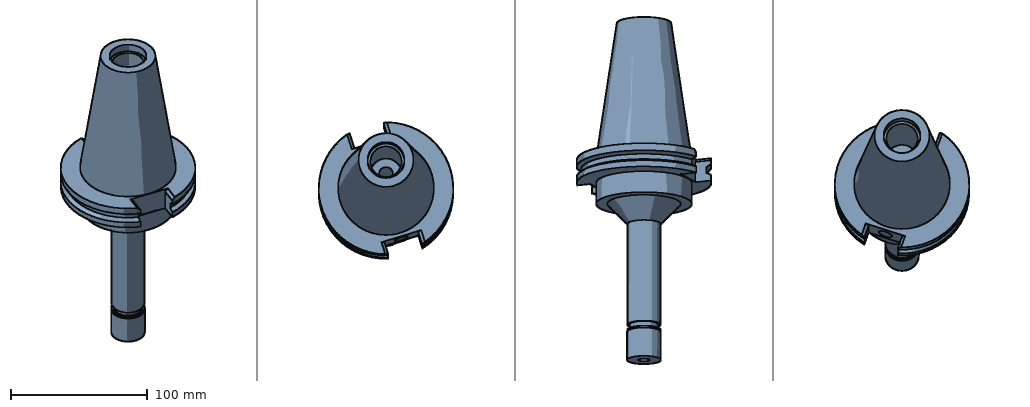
import cadquery as cq

total_length = 254.0
taper_base_z = 152.5
flange_top_z = 151.1
flange_bottom_z = 133.5
collar_bottom_z = 117.9
cone_bottom_z = 102.5
neck_top_z = 26.7
nose_top_z = 22.9
nose_step_z = 21.3

taper_top_radius = 20.0
collar_radius = 35.0
cone_top_radius = 27.0
shaft_radius = 12.2
nose_radius = 12.5
neck_radius = 10.7

flange_radius = 98.5 / 2
groove_floor_radius = 46.0
groove_center_z = 142.0
groove_floor_width = 3.8
groove_mouth_width = 7.5

slot_width = 26.0
slot_edge_chamfer = 2.3
left_slot_floor = 37.5
right_slot_floor = 35.3

plug_radius = 5.0
plug_length = 4.5
plug_center_z = 141.7

counterbore_radius = 13.5
counterbore_depth = 6.0
drawbar_bore_radius = 11.5
drawbar_bore_depth = 50.8
through_hole_radius = 5.0
nose_hole_radius = 4.0


def revolve_profile(points):
    """Turn a closed (radius, height) outline about the Z axis."""
    return cq.Workplane("XZ").polyline(points).close().revolve(360, (0, 0, 0), (0, 1, 0))


def bore(radius, bottom_z, top_z):
    """Cylinder on the Z axis, used as a cutting tool."""
    return cq.Workplane("XY").workplane(offset=bottom_z).circle(radius).extrude(top_z - bottom_z)


def make_holder_blank():
    half_floor = groove_floor_width / 2
    half_mouth = groove_mouth_width / 2
    return revolve_profile([
        (0, 0),
        (nose_radius, 0),
        (nose_radius, nose_step_z),
        (shaft_radius, nose_step_z),
        (shaft_radius, nose_top_z),
        (neck_radius, nose_top_z),
        (neck_radius, neck_top_z),
        (shaft_radius, neck_top_z),
        (shaft_radius, cone_bottom_z),
        (cone_top_radius, collar_bottom_z),
        (collar_radius, collar_bottom_z),
        (collar_radius, flange_bottom_z),
        (flange_radius, flange_bottom_z),
        (flange_radius, groove_center_z - half_mouth),
        (groove_floor_radius, groove_center_z - half_floor),
        (groove_floor_radius, groove_center_z + half_floor),
        (flange_radius, groove_center_z + half_mouth),
        (flange_radius, flange_top_z),
        (collar_radius, flange_top_z),
        (collar_radius, taper_base_z),
        (taper_top_radius, total_length),
        (0, total_length),
    ])


def make_slot_cutter(side, floor_distance):
    """Radial slot through the flange with chamfered top edges; side is -1 or +1 along X."""
    half_width = slot_width / 2
    mouth = half_width + slot_edge_chamfer
    profile = [
        (-half_width, flange_bottom_z),
        (half_width, flange_bottom_z),
        (half_width, flange_top_z - slot_edge_chamfer),
        (mouth, flange_top_z),
        (-mouth, flange_top_z),
        (-half_width, flange_top_z - slot_edge_chamfer),
    ]
    length = side * (flange_radius - floor_distance)
    return cq.Workplane("YZ", origin=(side * floor_distance, 0, 0)).polyline(profile).close().extrude(length)


def make_plug():
    center = (-left_slot_floor, 0, plug_center_z)
    return cq.Workplane("YZ", origin=center).circle(plug_radius).extrude(plug_length)


def make_holder(plug):
    holder = make_holder_blank()
    for side, floor_distance in ((-1, left_slot_floor), (1, right_slot_floor)):
        holder = holder.cut(make_slot_cutter(side, floor_distance))
    holder = holder.cut(plug)
    holder = holder.cut(bore(counterbore_radius, total_length - counterbore_depth, total_length))
    holder = holder.cut(bore(drawbar_bore_radius, total_length - drawbar_bore_depth, total_length))
    holder = holder.cut(bore(through_hole_radius, nose_top_z, total_length))
    return holder.cut(bore(nose_hole_radius, 0, nose_top_z))


plug = make_plug()
holder = make_holder(plug)
result = cq.Compound.makeCompound([holder.val(), plug.val()])